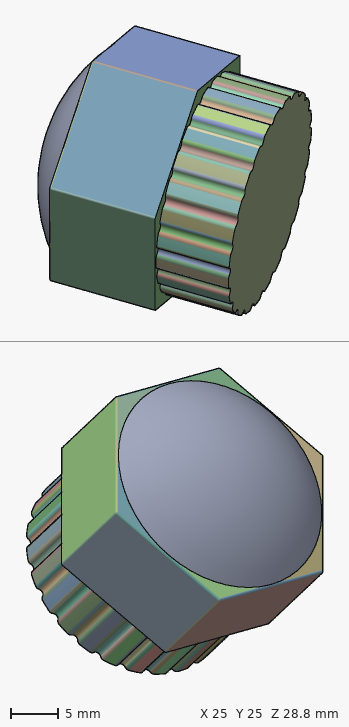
import cadquery as cq
import math


total_length = 25.0
hex_length = 12.0
spigot_length = 8.2
dome_height = total_length - hex_length - spigot_length

across_flats = 25.0
hex_edge_radius = 0.25
hex_corner_radius = across_flats / 2 / math.cos(math.pi / 6)

round_radius = across_flats / 2 - hex_edge_radius

groove_count = 25
groove_radius = 0.5
groove_edge_radius = 0.5

seat_x = 0.0
hex_front_x = seat_x - hex_length
dome_tip_x = hex_front_x - dome_height


def make_hex_body():
    """Hexagonal prism rounded along its sides and around its front face."""
    corners = []
    for i in range(6):
        angle = math.pi / 2 + i * math.pi / 3
        corners.append((hex_corner_radius * math.cos(angle), hex_corner_radius * math.sin(angle)))
    prism = cq.Workplane("YZ", origin=(hex_front_x, 0, 0)).polyline(corners).close().extrude(hex_length)
    return prism.edges("|X or <X").fillet(hex_edge_radius)


def make_dome():
    """Spherical cap on the front face, revolved about the X axis."""
    sphere_radius = (round_radius**2 + dome_height**2) / (2 * dome_height)
    sphere_center_x = dome_tip_x + sphere_radius
    half_angle = math.asin(round_radius / sphere_radius) / 2
    arc_middle = (
        sphere_center_x - sphere_radius * math.cos(half_angle),
        sphere_radius * math.sin(half_angle),
    )
    return (
        cq.Workplane("XY")
        .moveTo(dome_tip_x, 0)
        .threePointArc(arc_middle, (hex_front_x, round_radius))
        .lineTo(seat_x, round_radius)
        .lineTo(seat_x, 0)
        .close()
        .revolve(360, (0, 0, 0), (1, 0, 0))
    )


def make_spigot():
    """Round spigot with half-round grooves, one facing +Y, whose edges are rounded."""
    spigot_plane = cq.Workplane("YZ", origin=(seat_x, 0, 0))
    spigot = spigot_plane.circle(round_radius).extrude(spigot_length)
    grooves = (
        spigot_plane
        .polarArray(round_radius, 0, 360, groove_count)
        .circle(groove_radius)
        .extrude(spigot_length)
    )
    return spigot.cut(grooves).edges("|X").fillet(groove_edge_radius)


result = make_hex_body().union(make_dome()).union(make_spigot())